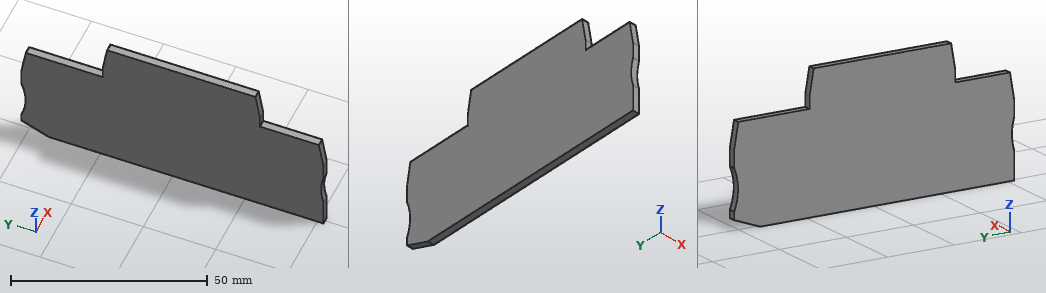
import cadquery as cq

thickness = 2.2
length = 83.65
height = 39.65
half_length = length / 2

shoulder_z = 29.0
block_front_y = -24.3
block_back_y = 19.3

taper_inset = 1.25
taper_height = 7.4
body_taper_z = shoulder_z - taper_height
block_taper_z = height - taper_height

front_arc_bottom_z = 8.0
front_arc_top_z = 16.9
front_arc_depth = 0.7
front_arc_mid_z = (front_arc_bottom_z + front_arc_top_z) / 2

back_arc_bottom_z = 5.3
back_arc_top_z = 16.9
back_arc_depth = 1.2
back_arc_mid_z = (back_arc_bottom_z + back_arc_top_z) / 2

corner_length = 7.8
corner_height = 3.0

outline = (
    cq.Workplane("YZ", origin=(-thickness / 2, 0, 0))
    .moveTo(-half_length, 0)
    .lineTo(-half_length, front_arc_bottom_z)
    .threePointArc(
        (-half_length + front_arc_depth, front_arc_mid_z),
        (-half_length, front_arc_top_z),
    )
    .lineTo(-half_length, body_taper_z)
    .lineTo(-half_length + taper_inset, shoulder_z)
    .lineTo(block_front_y, shoulder_z)
    .lineTo(block_front_y, block_taper_z)
    .lineTo(block_front_y + taper_inset, height)
    .lineTo(block_back_y - taper_inset, height)
    .lineTo(block_back_y, block_taper_z)
    .lineTo(block_back_y, shoulder_z)
    .lineTo(half_length - taper_inset, shoulder_z)
    .lineTo(half_length, body_taper_z)
    .lineTo(half_length, back_arc_top_z)
    .threePointArc(
        (half_length - back_arc_depth, back_arc_mid_z),
        (half_length, back_arc_bottom_z),
    )
    .lineTo(half_length, corner_height)
    .lineTo(half_length - corner_length, 0)
    .close()
)

result = outline.extrude(thickness)